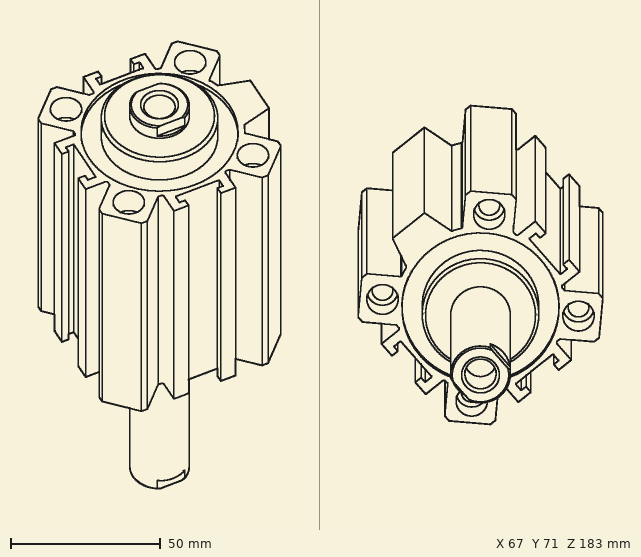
import cadquery as cq
import math


rod_length = 183.0
body_bottom = 74.3
body_length = 94.8
body_top = body_bottom + body_length
body_middle = body_bottom + body_length / 2

body_width = 67.0
half_width = body_width / 2
core_half_width = 25.5
crown_radius = 28.5
arm_width = 17.0
arm_reach = 40.5

rail_width = 23.0
slot_width = 16.3
slot_opening = 12.0
slot_floor = 28.0
lip_thickness = 2.5
rail_fillet = 0.7

rib_reach = 37.5
rib_top_width = 13.9
rib_side_angle = 15.0

bolt_offset = 23.2
bolt_diameter = 7.0
counterbore_diameter = 10.5
counterbore_depth = 10.0

recess_diameter = 52.5
recess_depth = 2.0
boss_diameter = 39.0
boss_height = 8.2
boss_chamfer = 1.1

rod_diameter = 20.0
rod_chamfer = 0.5
flat_spacing = 17.0
flat_length = 4.5
rod_hole_diameter = 10.5
rod_hole_depth = 14.6
rod_hole_mouth_diameter = 12.6


def block(x_range, y_range):
    """Block over the full body length between the given X and Y limits."""
    x_min, x_max = x_range
    y_min, y_max = y_range
    return (
        cq.Workplane("XY", origin=(0, 0, body_bottom))
        .moveTo((x_min + x_max) / 2, (y_min + y_max) / 2)
        .rect(x_max - x_min, y_max - y_min)
        .extrude(body_length)
    )


def turned(shape, angle):
    """The shape turned about the rod axis."""
    return shape.rotate((0, 0, 0), (0, 0, 1), angle)


def mirrored(shape, height):
    """The shape mirrored about a level plane at the given height."""
    return shape.mirror("XY", (0, 0, height))


def make_arms():
    """Two crossed bars, with their corners trimmed to the body square."""
    bar = block((-arm_reach, arm_reach), (-arm_width / 2, arm_width / 2))
    cross = turned(bar, 45).union(turned(bar, -45))
    return cross.intersect(block((-half_width, half_width), (-half_width, half_width)))


def make_rail():
    """Solid rail that points along +X."""
    return block((0, half_width), (-rail_width / 2, rail_width / 2))


def make_rail_slot():
    """T-shaped slot of the rail that points along +X."""
    wide_part = block((slot_floor, half_width - lip_thickness), (-slot_width / 2, slot_width / 2))
    opening = block((slot_floor, half_width), (-slot_opening / 2, slot_opening / 2))
    return wide_part.union(opening)


def make_rib():
    """Rib on +Y that narrows outward."""
    top_half = rib_top_width / 2
    root_half = top_half + rib_reach * math.tan(math.radians(rib_side_angle))
    return (
        cq.Workplane("XY", origin=(0, 0, body_bottom))
        .polyline([(-root_half, 0), (root_half, 0), (top_half, rib_reach), (-top_half, rib_reach)])
        .close()
        .extrude(body_length)
    )


def make_crown():
    """Round wall on the +Y side of the core, concentric with the rod."""
    cylinder = cq.Workplane("XY", origin=(0, 0, body_bottom)).circle(crown_radius).extrude(body_length)
    return cylinder.intersect(block((-crown_radius, crown_radius), (core_half_width, crown_radius)))


def fillet_rail_roots(body):
    """The body with rounded corners where the rail sides meet the groove floors."""
    rail_half = rail_width / 2
    for side in (-rail_half, rail_half):
        for x, y in ((side, -core_half_width), (core_half_width, side), (-core_half_width, side)):
            edge = cq.selectors.NearestToPointSelector((x, y, body_middle))
            body = body.edges(edge).fillet(rail_fillet)
    return body


def make_body():
    """Square core with arms, slotted rails, crown and rib, all over the body length."""
    rail_angles = (0, 180, 270)
    core = block((-core_half_width, core_half_width), (-core_half_width, core_half_width))
    body = core.union(make_arms()).union(make_crown()).union(make_rib())
    for angle in rail_angles:
        body = body.union(turned(make_rail(), angle))
    body = fillet_rail_roots(body)
    for angle in rail_angles:
        body = body.cut(turned(make_rail_slot(), angle))
    return body


def make_boss():
    """Chamfered boss on the upper end, from the recess floor up."""
    return (
        cq.Workplane("XY", origin=(0, 0, body_top - recess_depth))
        .circle(boss_diameter / 2)
        .extrude(boss_height + recess_depth)
        .faces(">Z")
        .chamfer(boss_chamfer)
    )


def make_recess():
    """Shallow round recess in the upper end."""
    return (
        cq.Workplane("XY", origin=(0, 0, body_top - recess_depth))
        .circle(recess_diameter / 2)
        .extrude(recess_depth)
    )


def bolt_cylinders(diameter, bottom, height):
    """Cylinders of one size on the four bolt axes."""
    return (
        cq.Workplane("XY", origin=(0, 0, bottom))
        .rect(2 * bolt_offset, 2 * bolt_offset, forConstruction=True)
        .vertices()
        .circle(diameter / 2)
        .extrude(height)
    )


def make_housing():
    """Body with its end bosses, bolt holes and rod bore."""
    counterbores = bolt_cylinders(counterbore_diameter, body_top - counterbore_depth, counterbore_depth)
    housing = make_body().cut(bolt_cylinders(bolt_diameter, body_bottom, body_length))
    for end_cut in (counterbores, make_recess()):
        housing = housing.cut(end_cut).cut(mirrored(end_cut, body_middle))
    boss = make_boss()
    housing = housing.union(boss).union(mirrored(boss, body_middle))
    rod_bore = cq.Workplane("XY").circle(rod_diameter / 2).extrude(rod_length)
    return housing.cut(rod_bore)


def make_rod_end_cuts():
    """Everything cut from the upper rod end: two flats and a countersunk blind hole."""
    flats = (
        cq.Workplane("XY", origin=(0, 0, rod_length - flat_length))
        .rect(2 * rod_diameter, 2 * rod_diameter)
        .rect(flat_spacing, 2 * rod_diameter)
        .extrude(flat_length)
    )
    hole_radius = rod_hole_diameter / 2
    mouth_radius = rod_hole_mouth_diameter / 2
    mouth_bottom = rod_length - (mouth_radius - hole_radius)
    hole_bottom = rod_length - rod_hole_depth
    hole = (
        cq.Workplane("XZ")
        .polyline([
            (0, hole_bottom),
            (hole_radius, hole_bottom),
            (hole_radius, mouth_bottom),
            (mouth_radius, rod_length),
            (0, rod_length),
        ])
        .close()
        .revolve(360, (0, 0, 0), (0, 1, 0))
    )
    return flats.union(hole)


def make_rod():
    """Rod with the same flats, hole and chamfer at both ends."""
    rod = (
        cq.Workplane("XY")
        .circle(rod_diameter / 2)
        .extrude(rod_length)
        .faces("<Z or >Z")
        .chamfer(rod_chamfer)
    )
    end_cuts = make_rod_end_cuts()
    return rod.cut(end_cuts).cut(mirrored(end_cuts, rod_length / 2))


housing = make_housing()
rod = make_rod()

result = cq.Compound.makeCompound([housing.solids().val(), rod.solids().val()])